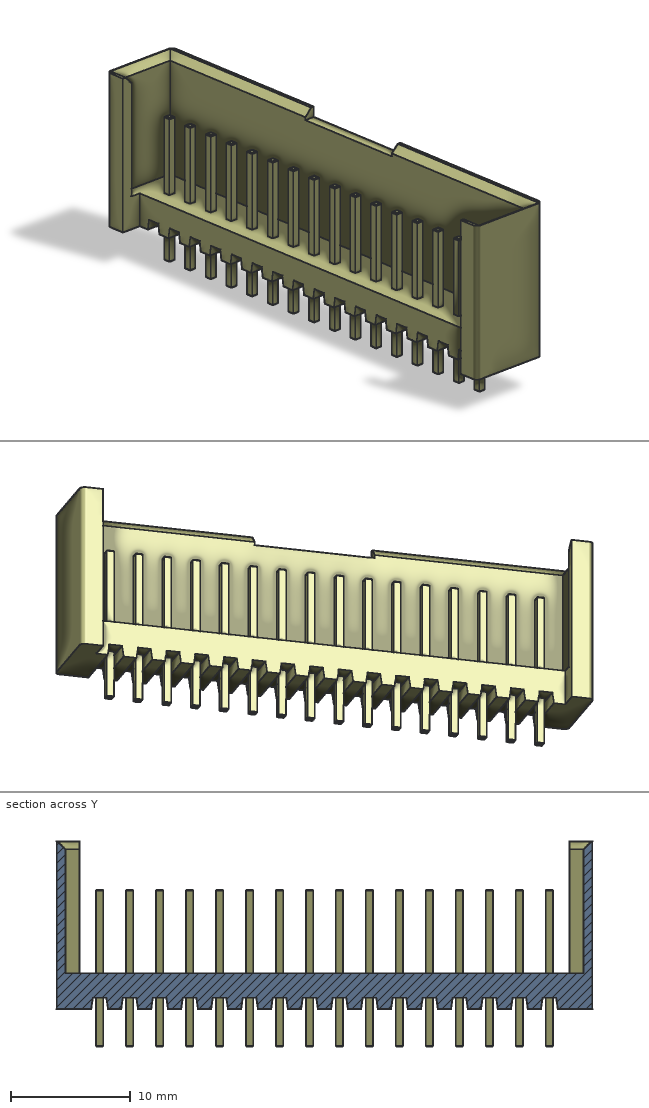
import cadquery as cq

length = 44.7
depth = 7.5
housing_height = 14.0
floor_thickness = 3.0
side_wall = 0.75
end_wall = 1.0
corner_radius = 0.45

lip_width = 1.9
opening_depth = 1.9

lead_in = 0.65
notch_width = 10.45
notch_depth = 0.95

pin_count = 16
pin_row_span = 37.5
pin_width = 0.63
pin_tail = 3.15
pin_recess = 4.02
pin_tip_chamfer = 0.1

slot_depth = 0.95
slot_bottom_width = 1.4
slot_top_width = 1.1

cavity_length = length - 2 * side_wall
cavity_depth = depth - 2 * end_wall
pin_height = housing_height - pin_recess + pin_tail
pin_pitch = pin_row_span / (pin_count - 1)
pin_positions = [i * pin_pitch - pin_row_span / 2 for i in range(pin_count)]


def make_shell():
    """Rounded block with a blind cavity and a chamfered mouth."""
    block = cq.Workplane("XY").box(length, depth, housing_height, centered=(True, True, False))
    block = block.edges("|Z").fillet(corner_radius)
    cavity = (
        cq.Workplane("XY")
        .workplane(offset=floor_thickness)
        .rect(cavity_length, cavity_depth)
        .extrude(housing_height - floor_thickness)
    )
    mouth = (
        cq.Workplane("XY")
        .workplane(offset=housing_height - lead_in)
        .rect(cavity_length, cavity_depth)
        .workplane(offset=lead_in)
        .rect(cavity_length + 2 * lead_in, cavity_depth + 2 * lead_in)
        .loft(combine=True, ruled=True)
    )
    return block.cut(cavity).cut(mouth)


def make_front_opening():
    """Full-height cut that leaves only a lip at each end of the front."""
    return cq.Workplane("XY").box(
        length - 2 * lip_width, opening_depth, housing_height, centered=(True, False, False)
    ).translate((0, -depth / 2, 0))


def make_back_notch():
    """Gap in the middle of the back wall's top edge."""
    return cq.Workplane("XY").box(
        notch_width, depth / 2, notch_depth, centered=(True, False, False)
    ).translate((0, 0, housing_height - notch_depth))


def make_relief_slot(x):
    """Trapezoidal slot through the underside along Y, centred on one pin."""
    return (
        cq.Workplane("XZ")
        .polyline([
            (x - slot_bottom_width / 2, 0),
            (x + slot_bottom_width / 2, 0),
            (x + slot_top_width / 2, slot_depth),
            (x - slot_top_width / 2, slot_depth),
        ])
        .close()
        .extrude(depth / 2, both=True)
    )


def make_pin(x):
    """Square pin with chamfered tips at both ends."""
    pin = cq.Workplane("XY").box(pin_width, pin_width, pin_height, centered=(True, True, False))
    pin = pin.faces("<Z or >Z").edges().chamfer(pin_tip_chamfer)
    return pin.translate((x, 0, -pin_tail))


result = make_shell().cut(make_front_opening()).cut(make_back_notch())
for pin_x in pin_positions:
    result = result.cut(make_relief_slot(pin_x))
for pin_x in pin_positions:
    result = result.union(make_pin(pin_x))